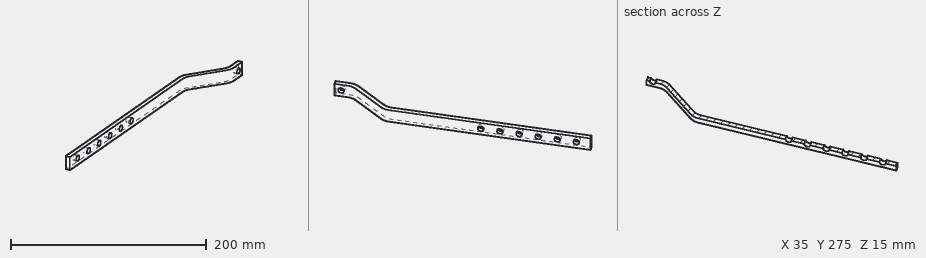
import cadquery as cq
import math

length = 275.0
width = 35.0
height = 15.0
thickness = 5.0
bend_radius = 15.0
lower_bend_y = 216.2
upper_bend_y = 256.0

hole_diameter = 6.0
row_hole_count = 6
row_start = 14.8
row_span = 100.0
tab_hole_inset = 7.0

offset = width - thickness
bend_angle = math.atan2(offset, upper_bend_y - lower_bend_y)
corner_shift = thickness * math.tan(bend_angle / 2)
row_pitch = row_span / (row_hole_count - 1)


def bent_bar():
    """Flat bar with a sideways double bend, standing on the XY plane."""
    outline = [
        (0, 0),
        (thickness, 0),
        (thickness, lower_bend_y - corner_shift),
        (width, upper_bend_y - corner_shift),
        (width, length),
        (offset, length),
        (offset, upper_bend_y),
        (0, lower_bend_y),
    ]
    bar = cq.Workplane("XY").polyline(outline).close().extrude(height)
    bend_corners = [outline[i] for i in (2, 3, 6, 7)]
    for x, y in bend_corners:
        nearest = cq.selectors.NearestToPointSelector((x, y, height / 2))
        bar = bar.edges("|Z").edges(nearest).fillet(bend_radius)
    return bar


def hole_cutters():
    """Cylinders along X for the row of holes and the single tab hole."""
    positions = [row_start + i * row_pitch for i in range(row_hole_count)]
    positions.append(length - tab_hole_inset)
    centers = [(y, height / 2) for y in positions]
    return cq.Workplane("YZ").pushPoints(centers).circle(hole_diameter / 2).extrude(width)


result = bent_bar().cut(hole_cutters())